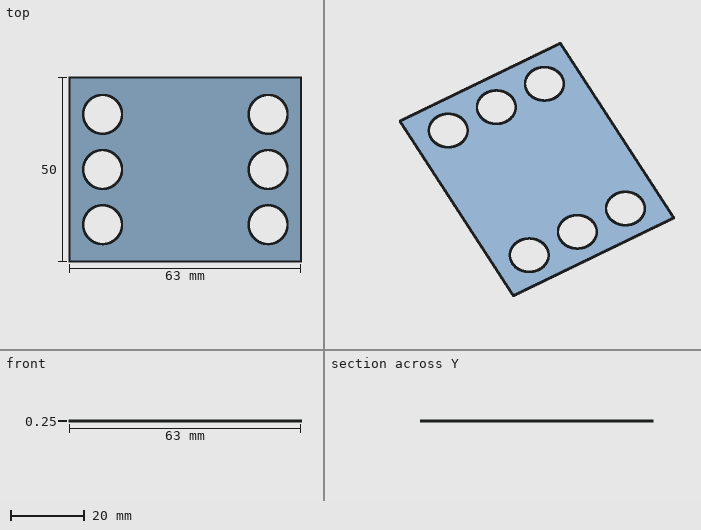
import cadquery as cq

plate_length = 63.0
plate_width = 50.0
plate_thickness = 0.25

hole_diameter = 10.5
column_spacing = 45.0
row_spacing = 15.0
column_count = 2
row_count = 3

plate = cq.Workplane("XY").box(plate_length, plate_width, plate_thickness)

result = (
    plate.faces(">Z")
    .workplane()
    .rarray(column_spacing, row_spacing, column_count, row_count)
    .hole(hole_diameter)
)